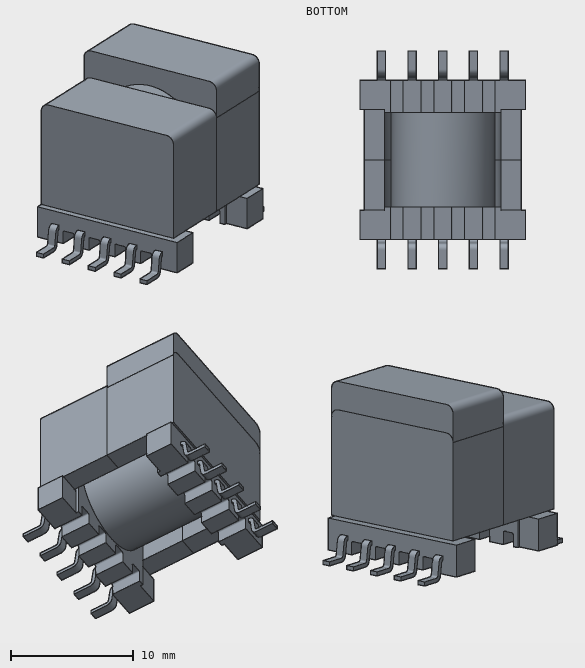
import cadquery as cq
import math


CORE_WIDTH = 12.8
CORE_DEPTH = 6.5
CORE_HEIGHT = 9.0
CORE_BOTTOM = 3.5
CORE_CORNER_RADIUS = 0.7
AXIS_Z = 6.0
POST_DIAMETER = 4.5

CAP_RISE = 2.4

BORE_DIAMETER = 4.6
BARREL_DIAMETER = 5.8
FLANGE_RADIUS = 4.75
FLANGE_INNER_Y = 3.85
FLANGE_OUTER_Y = 4.5
RAIL_LENGTH = 13.5
RAIL_INNER_Y = 4.1
RAIL_BOTTOM = 0.5
RAIL_TOP = 3.2
NOTCH_WIDTH = 1.05
NOTCH_TOP = 1.65
NOTCH_CORNER_RADIUS = 0.15

RECESS_RADIUS = FLANGE_RADIUS
RECESS_DEPTH = FLANGE_OUTER_Y

COIL_DIAMETER = 8.48

PIN_COUNT = 5
PIN_PITCH = 2.5
PIN_WIDTH = 0.7
PIN_THICKNESS = 0.35
PIN_EXIT_TOP = 2.05
PIN_SPAN = 17.75
PIN_TIP_Y = PIN_SPAN / 2
PIN_INNER_BEND = 0.5 * PIN_THICKNESS
PIN_OUTER_BEND = PIN_INNER_BEND + PIN_THICKNESS
PIN_LEAN = math.radians(8)


def extrude_along_y(profile, y_start, y_end):
    """Place a profile drawn in X and Z so that it fills y_start to y_end."""
    length = y_end - y_start
    return profile.extrude(-length).translate((0, y_start, 0))


def disc(diameter, y_start, y_end):
    """Cylinder on the winding axis."""
    profile = cq.Workplane("XZ").center(0, AXIS_Z).circle(diameter / 2)
    return extrude_along_y(profile, y_start, y_end)


def arch(radius, bottom, y_start, y_end):
    """Half-round top on the winding axis, with straight sides down to bottom."""
    profile = (
        cq.Workplane("XZ")
        .moveTo(-radius, bottom)
        .lineTo(-radius, AXIS_Z)
        .threePointArc((0, AXIS_Z + radius), (radius, AXIS_Z))
        .lineTo(radius, bottom)
        .close()
    )
    return extrude_along_y(profile, y_start, y_end)


def core_block():
    """Rear core envelope with rounded top side edges."""
    return (
        cq.Workplane("XY", origin=(0, CORE_DEPTH / 2, CORE_BOTTOM))
        .box(CORE_WIDTH, CORE_DEPTH, CORE_HEIGHT, centered=(True, True, False))
        .edges("|Y and >Z")
        .fillet(CORE_CORNER_RADIUS)
    )


def core_recess():
    """Space for the bobbin and winding, open at the bottom and at Y = 0."""
    return arch(RECESS_RADIUS, CORE_BOTTOM, 0, RECESS_DEPTH)


def make_core_half():
    """Rear core half: block, recess and centre post."""
    post = disc(POST_DIAMETER, 0, CORE_DEPTH)
    return core_block().cut(core_recess()).union(post)


def make_core_cap():
    """Raised recessed block, less the volume that the rear half takes up."""
    rise = (0, 0, CAP_RISE)
    raised = core_block().cut(core_recess()).translate(rise)
    return raised.cut(core_block())


def bend_point(center, radius, angle):
    """Point in Y and Z on a bend, with angle measured from +Z toward +Y."""
    return (center[0] + radius * math.sin(angle), center[1] + radius * math.cos(angle))


def make_pin():
    """Gull-wing pin at X = 0 that leaves the rear face of the rear rail."""
    bend_angle = math.pi / 2 - PIN_LEAN
    drop = PIN_EXIT_TOP - PIN_THICKNESS
    bend_radius_sum = PIN_INNER_BEND + PIN_OUTER_BEND
    leg = (drop - bend_radius_sum * (1 - math.cos(bend_angle))) / math.sin(bend_angle)
    reach = bend_radius_sum * math.sin(bend_angle) + leg * math.cos(bend_angle)
    upper = (CORE_DEPTH, PIN_EXIT_TOP - PIN_OUTER_BEND)
    lower = (CORE_DEPTH + reach, PIN_OUTER_BEND)
    turned = math.pi + bend_angle
    halfway = bend_angle / 2

    profile = (
        cq.Workplane("YZ", origin=(-PIN_WIDTH / 2, 0, 0))
        .moveTo(RAIL_INNER_Y, PIN_EXIT_TOP)
        .lineTo(CORE_DEPTH, PIN_EXIT_TOP)
        .threePointArc(
            bend_point(upper, PIN_OUTER_BEND, halfway),
            bend_point(upper, PIN_OUTER_BEND, bend_angle),
        )
        .lineTo(*bend_point(lower, PIN_INNER_BEND, turned))
        .threePointArc(
            bend_point(lower, PIN_INNER_BEND, math.pi + halfway),
            bend_point(lower, PIN_INNER_BEND, math.pi),
        )
        .lineTo(PIN_TIP_Y, PIN_THICKNESS)
        .lineTo(PIN_TIP_Y, 0)
        .lineTo(lower[0], 0)
        .threePointArc(
            bend_point(lower, PIN_OUTER_BEND, math.pi + halfway),
            bend_point(lower, PIN_OUTER_BEND, turned),
        )
        .lineTo(*bend_point(upper, PIN_INNER_BEND, bend_angle))
        .threePointArc(
            bend_point(upper, PIN_INNER_BEND, halfway),
            bend_point(upper, PIN_INNER_BEND, 0),
        )
        .lineTo(RAIL_INNER_Y, PIN_EXIT_TOP - PIN_THICKNESS)
        .close()
    )
    return profile.extrude(PIN_WIDTH)


def make_notch():
    """Wire notch at X = 0 through the rear rail and flange, open below."""
    depth = CORE_DEPTH - FLANGE_INNER_Y
    return (
        cq.Workplane("XY", origin=(0, FLANGE_INNER_Y + depth / 2, RAIL_BOTTOM))
        .box(NOTCH_WIDTH, depth, NOTCH_TOP - RAIL_BOTTOM, centered=(True, True, False))
        .edges("|Y and >Z")
        .fillet(NOTCH_CORNER_RADIUS)
    )


def make_bobbin_end():
    """Rear flange and pin rail with its notches and pins."""
    rail_depth = CORE_DEPTH - RAIL_INNER_Y
    rail = cq.Workplane("XY", origin=(0, RAIL_INNER_Y + rail_depth / 2, RAIL_BOTTOM)).box(
        RAIL_LENGTH, rail_depth, RAIL_TOP - RAIL_BOTTOM, centered=(True, True, False)
    )
    end = arch(FLANGE_RADIUS, RAIL_BOTTOM, FLANGE_INNER_Y, FLANGE_OUTER_Y).union(rail)
    first_pin_x = -PIN_PITCH * (PIN_COUNT - 1) / 2
    for index in range(PIN_COUNT - 1):
        notch_x = first_pin_x + PIN_PITCH * (index + 0.5)
        end = end.cut(make_notch().translate((notch_x, 0, 0)))
    for index in range(PIN_COUNT):
        pin_x = first_pin_x + PIN_PITCH * index
        end = end.union(make_pin().translate((pin_x, 0, 0)))
    return end


def make_bobbin():
    """Barrel between two mirrored ends, bored for the centre posts."""
    rear_end = make_bobbin_end()
    barrel = disc(BARREL_DIAMETER, -FLANGE_INNER_Y, FLANGE_INNER_Y)
    bore = disc(BORE_DIAMETER, -FLANGE_OUTER_Y, FLANGE_OUTER_Y)
    return barrel.union(rear_end).union(rear_end.mirror("XZ")).cut(bore)


def make_coil():
    """Winding that fills the barrel from flange to flange."""
    outside = disc(COIL_DIAMETER, -FLANGE_INNER_Y, FLANGE_INNER_Y)
    return outside.cut(disc(BARREL_DIAMETER, -FLANGE_INNER_Y, FLANGE_INNER_Y))


rear_core = make_core_half()
front_core = rear_core.mirror("XZ")
core_cap = make_core_cap()
bobbin = make_bobbin()
coil = make_coil()

result = cq.Compound.makeCompound(
    [body.solids().val() for body in (front_core, rear_core, core_cap, bobbin, coil)]
)